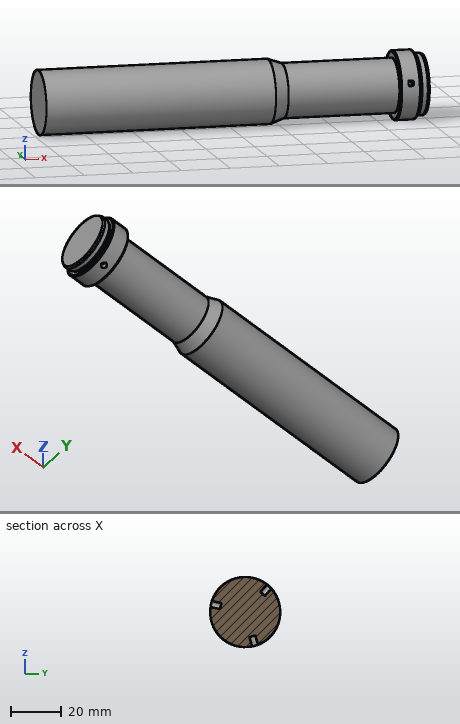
import cadquery as cq

length = 157.6
body_diameter = 26.2
body_length = 94.2
taper_length = 5.7
neck_diameter = 22.2

collar_diameter = 28.0
collar_start = 145.3
screw_hole_position = 149.5
collar_width = 8.2
collar_chamfer = 0.5

groove_width = 1.0
groove_diameter = 24.1
lip_diameter = 25.0
lip_chamfer_length = 1.0
lip_chamfer_depth = 0.5

screw_hole_count = 3
screw_hole_diameter = 2.4
screw_hole_depth = 4.0
first_hole_angle = 46.5

body_radius = body_diameter / 2
neck_radius = neck_diameter / 2
collar_radius = collar_diameter / 2
groove_radius = groove_diameter / 2
lip_radius = lip_diameter / 2
taper_end = body_length + taper_length
collar_end = collar_start + collar_width
groove_end = collar_end + groove_width


def turned_body():
    """Revolve the half outline of handle, neck, collar, tapered groove and end lip."""
    outline = [
        (0, 0),
        (0, body_radius),
        (body_length, body_radius),
        (taper_end, neck_radius),
        (collar_start, neck_radius),
        (collar_start, collar_radius - collar_chamfer),
        (collar_start + collar_chamfer, collar_radius),
        (collar_end - collar_chamfer, collar_radius),
        (collar_end, collar_radius - collar_chamfer),
        (collar_end, groove_radius),
        (groove_end, lip_radius),
        (length - lip_chamfer_length, lip_radius),
        (length, lip_radius - lip_chamfer_depth),
        (length, 0),
    ]
    return cq.Workplane("XY").polyline(outline).close().revolve(360, (0, 0, 0), (1, 0, 0))


def screw_hole(angle):
    """Blind radial hole, entering the rim of the collar."""
    return (
        cq.Workplane("XZ", origin=(screw_hole_position, collar_radius, 0))
        .circle(screw_hole_diameter / 2)
        .extrude(screw_hole_depth, both=True)
        .rotate((0, 0, 0), (1, 0, 0), angle)
    )


result = turned_body()
for index in range(screw_hole_count):
    result = result.cut(screw_hole(first_hole_angle + index * 360 / screw_hole_count))